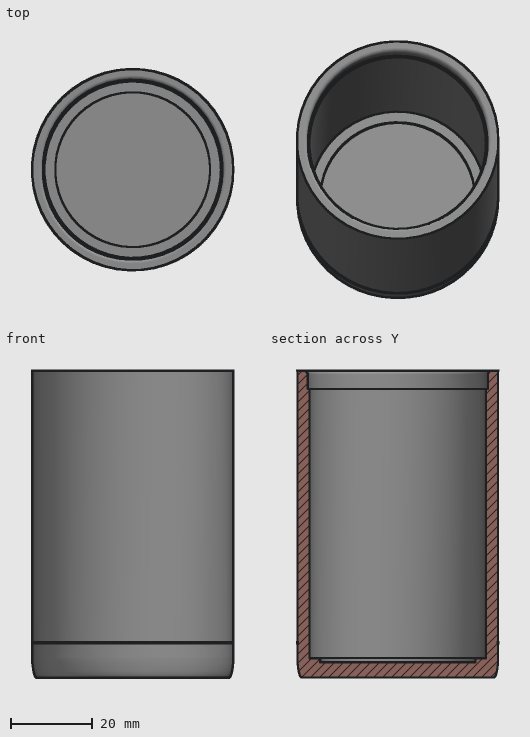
import cadquery as cq

height = 75.1
outer_radius = 24.65

foot_height = 4.95
foot_inset = 1.2

groove_bottom = 8.4
groove_width = 0.4
groove_depth = 0.15

mouth_radius = 22.0
mouth_depth = 4.5
rim_rounding = 1.0
cavity_radius = 21.55
floor_height = 4.8

recess_radius = 18.9
recess_depth = 1.0


def disc(radius, bottom, thickness):
    """Solid disc on the Z axis, starting at the given height."""
    return cq.Workplane("XY").workplane(offset=bottom).circle(radius).extrude(thickness)


def make_body():
    """Solid outside shape with the curved foot."""
    base_radius = outer_radius - foot_inset
    outline = (
        cq.Workplane("XZ")
        .lineTo(base_radius, 0)
        .ellipseArc(foot_inset, foot_height, 270, 360)
        .lineTo(outer_radius, height)
        .lineTo(0, height)
        .close()
    )
    return outline.revolve(360, (0, 0, 0), (0, 1, 0))


def make_groove():
    """Ring that cuts the outside groove."""
    ring = disc(outer_radius + groove_depth, groove_bottom, groove_width)
    return ring.cut(disc(outer_radius - groove_depth, groove_bottom, groove_width))


def make_bore():
    """Stepped cavity, with the floor recess below it."""
    cavity = disc(cavity_radius, floor_height, height - floor_height)
    mouth = disc(mouth_radius, height - mouth_depth, mouth_depth)
    recess = disc(recess_radius, floor_height - recess_depth, recess_depth)
    return cavity.union(mouth).union(recess)


cup = make_body().cut(make_groove()).cut(make_bore())
rim_inner_edge = cq.selectors.RadiusNthSelector(0)
result = cup.faces(">Z").edges(rim_inner_edge).fillet(rim_rounding)